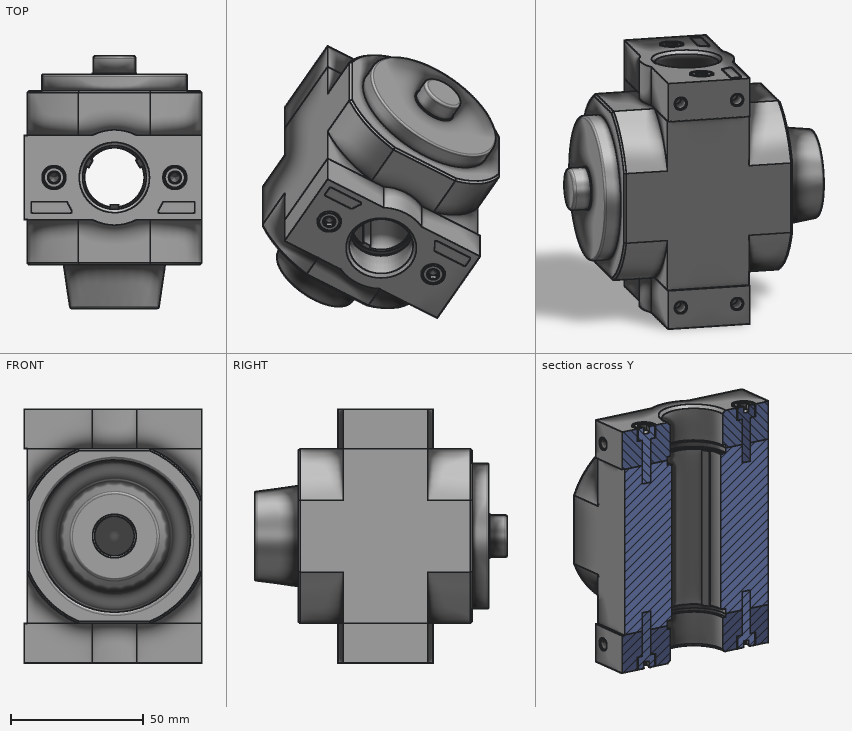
import cadquery as cq
import math

housing_size = 66.0
half_housing = housing_size / 2
barrel_diameter = 71.4
barrel_chamfer = 0.8
barrel_rear_y = 32.7
block_depth = 31.9

passage_diameter = 22.5
rib_width = 3.2
rib_height = 1.0
rib_count = 3
rib_start_angle = 30

seal_recess_diameter = 26.9
seal_recess_depth_in_port = 1.2
seal_recess_depth_in_housing = 1.9
passage_mouth_diameter = 24.1
passage_mouth_depth = 0.3

cavity_diameter = 57.6
cavity_mouth_fillet = 1.2
cavity_floor_y = -19.8
corner_radius = 1.1
nose_tip_y = -49.5
nose_tip_radius = 16.8
nose_taper_angle = 8.3
nose_tip_fillet = 1.0
nose_bore_diameter = 15.0
nose_bore_chamfer = 0.8

port_outer_z = 48.0
port_height = port_outer_z - half_housing
port_left_x = -34.1
port_bulge_diameter = 36.0
port_bore_diameter = 24.1
port_bore_chamfer = 1.2

mount_hole_diameter = 4.1
mount_hole_mouth_diameter = 5.0
mount_hole_depth = 7.7
mount_hole_pitch = 22.0
mount_hole_z = 39.8
drill_point_angle = 118

label_y_low = -13.4
label_y_high = -9.1
label_left_edge = -31.5
label_left_length = 15.8
label_right_edge = 30.4
label_right_length = 14.3
label_slant = 2.3
label_corner_radius = 0.6
label_depth = 0.2

screw_spacing = 45.7
screw_positions = (-screw_spacing / 2, screw_spacing / 2)
screw_head_diameter = 8.6
screw_head_height = 5.0
screw_head_chamfer = 0.6
screw_shank_diameter = 5.0
screw_shank_length = 17.3
counterbore_diameter = 9.0
socket_sides = 6
socket_across_flats = 4.0
socket_depth = 2.5
socket_mouth_diameter = 4.8
socket_mouth_depth = 0.3

cap_diameter = 55.0
cap_thickness = 6.3
cap_face_y = barrel_rear_y + cap_thickness
cap_edge_fillet = 0.8
collar_diameter = 16.7
collar_height = 0.4
rod_diameter = 16.0
rod_end_y = 46.1
rod_end_fillet = 1.1

selection_margin = 0.1


def cylinder_y(diameter, y_start, y_end):
    """Cylinder on the Y axis between two Y positions."""
    return (
        cq.Workplane("XZ", origin=(0, y_start, 0))
        .circle(diameter / 2)
        .extrude(y_start - y_end)
    )


def cylinder_z(diameter, z_start, z_end, x=0):
    """Cylinder parallel to Z between two Z positions."""
    return (
        cq.Workplane("XY", origin=(x, 0, z_start))
        .circle(diameter / 2)
        .extrude(z_end - z_start)
    )


def circles_at(y, largest_radius):
    """Selector for the edges in the plane at y that lie within a radius of the Y axis."""
    reach = largest_radius + selection_margin
    return cq.selectors.BoxSelector(
        (-reach, y - selection_margin, -reach),
        (reach, y + selection_margin, reach),
        boundingbox=True,
    )


def drill_point_height(diameter):
    return diameter / 2 / math.tan(math.radians(drill_point_angle / 2))


def flip_to_bottom(shape):
    """Turn a part of the top port half a turn about X, onto the bottom port."""
    return shape.rotate((0, 0, 0), (1, 0, 0), 180)



def make_nose():
    root_radius = nose_tip_radius + (cavity_floor_y - nose_tip_y) * math.tan(
        math.radians(nose_taper_angle)
    )
    return (
        cq.Workplane("XY")
        .moveTo(0, nose_tip_y)
        .lineTo(nose_tip_radius, nose_tip_y)
        .lineTo(root_radius, cavity_floor_y)
        .lineTo(0, cavity_floor_y)
        .close()
        .revolve(360, (0, 0, 0), (0, 1, 0))
        .faces("<Y")
        .edges()
        .fillet(nose_tip_fillet)
    )


def make_passage():
    """Cutting tool for the port passage, with slots left out where the ribs stand."""
    passage = cylinder_z(passage_diameter, -half_housing, half_housing)
    rib_inner_radius = passage_diameter / 2 - rib_height
    for index in range(rib_count):
        rib = (
            cq.Workplane("XY")
            .box(passage_diameter, rib_width, housing_size, centered=(False, True, True))
            .translate((rib_inner_radius, 0, 0))
            .rotate((0, 0, 0), (0, 0, 1), rib_start_angle + index * 360 / rib_count)
        )
        passage = passage.cut(rib)
    mouth_z = half_housing - seal_recess_depth_in_housing
    rib_end_z = mouth_z - passage_mouth_depth
    mouth = cylinder_z(passage_mouth_diameter, rib_end_z, mouth_z)
    recess = cylinder_z(seal_recess_diameter, mouth_z, half_housing)
    for end in (mouth, recess):
        passage = passage.union(end).union(flip_to_bottom(end))
    return passage


def make_housing():
    barrel = (
        cylinder_y(barrel_diameter, -half_housing, barrel_rear_y)
        .intersect(cq.Workplane("XY").box(housing_size, housing_size, housing_size))
        .faces("<Y or >Y")
        .edges()
        .chamfer(barrel_chamfer)
    )
    block = cq.Workplane("XY").box(housing_size, block_depth, housing_size)
    cavity = (
        cylinder_y(cavity_diameter, -half_housing, cavity_floor_y)
        .faces(">Y")
        .edges()
        .fillet(corner_radius)
    )
    nose_root_limit = cavity_diameter / 2 - 2 * corner_radius
    nose_bore = cylinder_y(nose_bore_diameter, nose_tip_y, cavity_floor_y)
    housing = (
        barrel.union(block)
        .cut(cavity)
        .edges(circles_at(-half_housing, cavity_diameter / 2))
        .fillet(cavity_mouth_fillet)
        .union(make_nose())
        .edges(circles_at(cavity_floor_y, nose_root_limit))
        .fillet(corner_radius)
        .cut(nose_bore)
        .faces("<Y")
        .edges("%CIRCLE")
        .edges(cq.selectors.RadiusNthSelector(0))
        .chamfer(nose_bore_chamfer)
        .cut(make_passage())
    )
    for screw in make_screws():
        housing = housing.cut(screw)
    return housing



def make_mount_hole(y):
    chamfer = (mount_hole_mouth_diameter - mount_hole_diameter) / 2
    radius = mount_hole_diameter / 2
    profile = (
        cq.Workplane("XY")
        .moveTo(0, 0)
        .lineTo(mount_hole_mouth_diameter / 2, 0)
        .lineTo(radius, chamfer)
        .lineTo(radius, mount_hole_depth)
        .lineTo(0, mount_hole_depth + drill_point_height(mount_hole_diameter))
        .close()
    )
    hole = profile.revolve(360, (0, 0, 0), (0, 1, 0)).rotate((0, 0, 0), (0, 0, 1), -90)
    return hole.translate((port_left_x, y, mount_hole_z))


def make_label_pocket(outer_edge, length):
    """Pocket running from its square outer end towards the port, where its end is slanted."""
    inward = -math.copysign(1, outer_edge)
    inner_edge = outer_edge + inward * length
    return (
        cq.Workplane("XY", origin=(0, 0, port_outer_z - label_depth))
        .polyline([
            (outer_edge, label_y_low),
            (outer_edge, label_y_high),
            (inner_edge - inward * label_slant, label_y_high),
            (inner_edge, label_y_low),
        ])
        .close()
        .extrude(label_depth)
        .edges("|Z")
        .fillet(label_corner_radius)
    )


def make_port_block():
    length = half_housing - port_left_x
    block = (
        cq.Workplane("XY", origin=(port_left_x, 0, half_housing))
        .box(length, block_depth, port_height, centered=(False, True, False))
        .union(cylinder_z(port_bulge_diameter, half_housing, port_outer_z))
        .cut(cylinder_z(port_bore_diameter, half_housing, port_outer_z))
        .faces(">Z")
        .edges("%CIRCLE")
        .edges(cq.selectors.RadiusNthSelector(0))
        .chamfer(port_bore_chamfer)
    )
    recess_top_z = half_housing + seal_recess_depth_in_port
    block = block.cut(cylinder_z(seal_recess_diameter, half_housing, recess_top_z))
    for x in screw_positions:
        block = block.cut(
            cylinder_z(counterbore_diameter, port_outer_z - screw_head_height, port_outer_z, x)
        )
        block = block.cut(cylinder_z(screw_shank_diameter, half_housing, port_outer_z, x))
    for y in (-mount_hole_pitch / 2, mount_hole_pitch / 2):
        block = block.cut(make_mount_hole(y))
    block = block.cut(make_label_pocket(label_left_edge, label_left_length))
    return block.cut(make_label_pocket(label_right_edge, label_right_length))



def make_screw(x):
    head_seat_z = port_outer_z - screw_head_height
    socket_corner_diameter = socket_across_flats / math.cos(math.pi / socket_sides)
    socket_floor_z = port_outer_z - socket_depth
    socket = (
        cq.Workplane("XY", origin=(x, 0, socket_floor_z))
        .polygon(socket_sides, socket_corner_diameter)
        .extrude(socket_depth)
        .rotate((x, 0, 0), (x, 0, 1), 180 / socket_sides)
    )
    socket_point = cq.Solid.makeCone(
        socket_across_flats / 2,
        0,
        drill_point_height(socket_across_flats),
        cq.Vector(x, 0, socket_floor_z),
        cq.Vector(0, 0, -1),
    )
    socket_mouth = cq.Solid.makeCone(
        socket_mouth_diameter / 2,
        socket_across_flats / 2,
        socket_mouth_depth,
        cq.Vector(x, 0, port_outer_z),
        cq.Vector(0, 0, -1),
    )
    head = (
        cylinder_z(screw_head_diameter, head_seat_z, port_outer_z, x)
        .faces(">Z")
        .edges()
        .chamfer(screw_head_chamfer)
        .cut(socket)
        .cut(cq.Workplane("XY").add(socket_point))
        .cut(cq.Workplane("XY").add(socket_mouth))
    )
    shank = cylinder_z(screw_shank_diameter, head_seat_z - screw_shank_length, head_seat_z, x)
    return head.union(shank)


def make_screws():
    screws = []
    for x in screw_positions:
        screw = make_screw(x)
        screws.append(screw)
        screws.append(flip_to_bottom(screw))
    return screws



def make_cap():
    return (
        cylinder_y(cap_diameter, barrel_rear_y, cap_face_y)
        .faces(">Y")
        .edges()
        .fillet(cap_edge_fillet)
        .union(cylinder_y(collar_diameter, barrel_rear_y, cap_face_y + collar_height))
        .cut(cylinder_y(rod_diameter, barrel_rear_y, rod_end_y))
    )


def make_rod():
    return cylinder_y(rod_diameter, barrel_rear_y, rod_end_y).faces(">Y").edges().fillet(rod_end_fillet)


housing = make_housing()
top_port = make_port_block()
bottom_port = flip_to_bottom(top_port)
screws = make_screws()
cap = make_cap()
rod = make_rod()

result = cq.Compound.makeCompound([
    housing.val(),
    top_port.val(),
    bottom_port.val(),
    *[screw.val() for screw in screws],
    cap.val(),
    rod.val(),
])